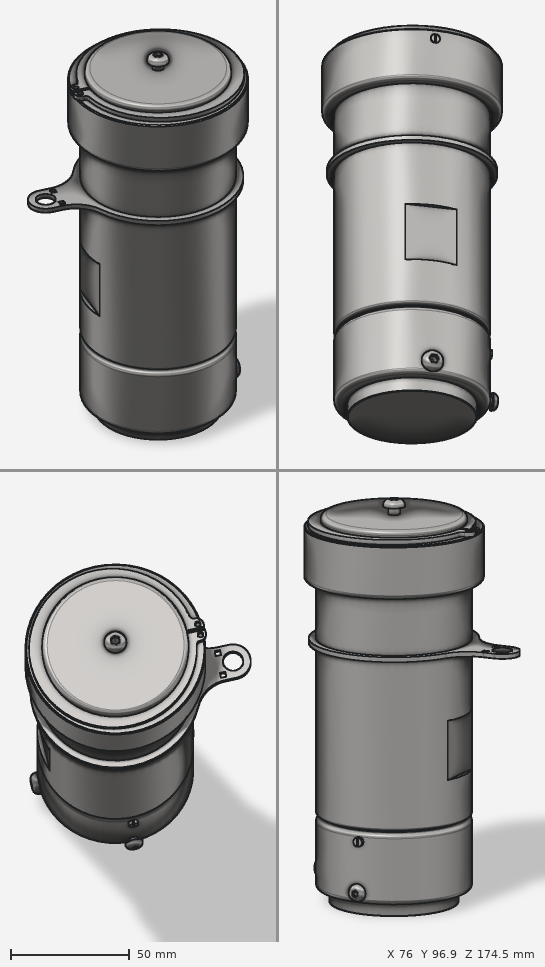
import cadquery as cq
import math

total_height = 174.5
edge_round = 2.0

base_lip_diameter = 54.6
base_lip_chamfer = 0.26
lower_cap_diameter = 66.0
lower_cap_bottom = 6.1
lower_cap_top = 37.0
neck_diameter = 59.0
body_diameter = 66.0
body_bottom = 38.2
body_edge_round = 1.0
collar_diameter = 76.0
collar_bottom = 139.5
collar_top = 162.8
collar_top_chamfer = 0.5
lid_diameter = 62.0
lid_top = 168.0
lid_round = 2.1

label_width = 22.7
label_bottom = 58.3
label_top = 84.0

plate_diameter = 72.0
plate_bottom = 112.2
plate_thickness = 2.1
tab_half_width = 7.5
tab_end = 58.5
tab_blend_radius = 15.0
tab_hole_diameter = 8.5
slot_side = 2.3
slot_spacing = 10.0
slot_offset = 45.5

ring_outer_diameter = 70.8
ring_shift = 1.0
ring_thickness = 2.1
ring_gap = 1.4
ear_half_width = 5.0
ear_end = 38.7
ear_corner_radius = 3.1
ear_blend_radius = 1.7
ear_hole_diameter = 2.5
ear_hole_spacing = 4.9
ear_hole_offset = 36.3

large_head_diameter = 9.5
large_head_height = 3.1
large_stem_diameter = 5.0
large_hex_width = 3.5
small_head_diameter = 7.7
small_head_height = 2.5
small_stem_diameter = 4.0
small_hex_width = 2.5
head_rim_ratio = 0.15
socket_edge_land = 0.3
dome_bulge_out = 0.75
dome_bulge_down = 0.4
side_screw_tip = 37.2
side_screw_height = 11.2
back_screw_tip = 36.3
back_screw_height = 11.5

set_screw_diameter = 4.0
set_screw_slot_width = 0.7
set_screw_slot_depth = 1.4
set_screw_depth = 5.2
side_set_screw_tip = 34.5
side_set_screw_height = 33.0
back_set_screw_tip = 38.4
back_set_screw_height = 158.6

body_radius = body_diameter / 2
screw_root_radius = base_lip_diameter / 2
plate_radius = plate_diameter / 2


def disc(diameter, bottom, top):
    """Make a cylinder on the main axis between two heights."""
    return cq.Workplane("XY").workplane(offset=bottom).circle(diameter / 2).extrude(top - bottom)


def hexagon_corner_diameter(across_flats):
    """Give the corner to corner diameter of a hexagon."""
    return across_flats / math.cos(math.radians(30))


def canister():
    lip = disc(base_lip_diameter, 0, lower_cap_bottom).faces("<Z").chamfer(base_lip_chamfer)
    lower_cap = disc(lower_cap_diameter, lower_cap_bottom, lower_cap_top).edges().fillet(edge_round)
    neck = disc(neck_diameter, lower_cap_top, body_bottom)
    body = disc(body_diameter, body_bottom, collar_bottom).faces("<Z").edges().fillet(body_edge_round)
    collar = disc(collar_diameter, collar_bottom, collar_top)
    collar = collar.faces("<Z").edges().fillet(edge_round)
    collar = collar.faces(">Z").edges().chamfer(collar_top_chamfer)
    lid = disc(lid_diameter, collar_top, lid_top).faces(">Z").edges().fillet(lid_round)
    solid = lip
    for section in (lower_cap, neck, cut_labels(body), collar, lid):
        solid = solid.union(section)
    return solid


def cut_labels(body):
    """Flats whose chord across the round body is the label width."""
    flat_offset = math.sqrt(body_radius**2 - (label_width / 2) ** 2)
    for side in (-1, 1):
        cutter = cq.Workplane("XY").box(
            body_diameter, body_diameter, label_top - label_bottom, centered=(True, True, False)
        )
        body = body.cut(cutter.translate((0, side * (flat_offset + body_radius), label_bottom)))
    return body


def hanging_plate():
    hole_offset = tab_end - tab_half_width
    blend_x = tab_half_width + tab_blend_radius
    centre_distance = plate_radius + tab_blend_radius
    blend_y = -math.sqrt(centre_distance**2 - blend_x**2)
    rim_x = blend_x * plate_radius / centre_distance
    rim_y = blend_y * plate_radius / centre_distance
    middle_angle = (math.atan2(rim_y - blend_y, rim_x - blend_x) + math.pi) / 2
    middle_x = blend_x + tab_blend_radius * math.cos(middle_angle)
    middle_y = blend_y + tab_blend_radius * math.sin(middle_angle)
    plate = (
        cq.Workplane("XY")
        .moveTo(rim_x, rim_y)
        .threePointArc((0, plate_radius), (-rim_x, rim_y))
        .threePointArc((-middle_x, middle_y), (-tab_half_width, blend_y))
        .lineTo(-tab_half_width, -hole_offset)
        .threePointArc((0, -tab_end), (tab_half_width, -hole_offset))
        .lineTo(tab_half_width, blend_y)
        .threePointArc((middle_x, middle_y), (rim_x, rim_y))
        .close()
        .extrude(plate_thickness)
    )
    hole = cq.Workplane("XY").center(0, -hole_offset).circle(tab_hole_diameter / 2).extrude(plate_thickness)
    slots = (
        cq.Workplane("XY")
        .pushPoints([(side * slot_spacing / 2, -slot_offset) for side in (-1, 1)])
        .rect(slot_side, slot_side)
        .extrude(plate_thickness)
    )
    return plate.cut(hole).cut(slots).translate((0, 0, plate_bottom))


def retaining_ring():
    ears = (
        cq.Workplane("XY")
        .rect(2 * ear_half_width, 2 * ear_end)
        .extrude(ring_thickness)
        .edges("|Z and <Y")
        .fillet(ear_corner_radius)
    )
    back_half = (
        cq.Workplane("XY").center(0, ear_end).rect(collar_diameter, 2 * ear_end).extrude(ring_thickness)
    )
    ring = cq.Workplane("XY").center(0, ring_shift).circle(ring_outer_diameter / 2).extrude(ring_thickness)
    ring = ring.union(ears.cut(back_half))
    root_y = ring_shift - math.sqrt((ring_outer_diameter / 2) ** 2 - ear_half_width**2)
    for side in (-1, 1):
        root = cq.selectors.NearestToPointSelector((side * ear_half_width, root_y, ring_thickness / 2))
        ring = ring.edges("|Z").edges(root).fillet(ear_blend_radius)
    gap = cq.Workplane("XY").center(0, -ear_end).rect(ring_gap, 2 * ear_end).extrude(ring_thickness)
    holes = (
        cq.Workplane("XY")
        .pushPoints([(side * ear_hole_spacing / 2, -ear_hole_offset) for side in (-1, 1)])
        .circle(ear_hole_diameter / 2)
        .extrude(ring_thickness)
    )
    return ring.cut(gap).cut(holes).translate((0, 0, collar_top))


def button_screw(head_diameter, head_height, stem_diameter, hex_width, length):
    head_radius = head_diameter / 2
    stem_radius = stem_diameter / 2
    flat_radius = hexagon_corner_diameter(hex_width) / 2 + socket_edge_land
    rim_top = -head_height * (1 - head_rim_ratio)
    dome_middle_radius = flat_radius + (head_radius - flat_radius) * dome_bulge_out
    screw = (
        cq.Workplane("XZ")
        .moveTo(0, 0)
        .lineTo(flat_radius, 0)
        .threePointArc((dome_middle_radius, rim_top * dome_bulge_down), (head_radius, rim_top))
        .lineTo(head_radius, -head_height)
        .lineTo(stem_radius, -head_height)
        .lineTo(stem_radius, -length)
        .lineTo(0, -length)
        .close()
        .revolve(360, (0, 0), (0, 1))
    )
    socket_depth = head_height / 2
    drill_radius = hex_width / 2
    socket = cq.Workplane("XY").polygon(6, hexagon_corner_diameter(hex_width)).extrude(-socket_depth)
    drill_cone = (
        cq.Workplane("XZ")
        .polyline([(0, -socket_depth), (drill_radius, -socket_depth), (0, -socket_depth - drill_radius)])
        .close()
        .revolve(360, (0, 0), (0, 1))
    )
    return screw.cut(socket).cut(drill_cone)


def set_screw(slot_length_x, slot_length_y):
    """Make a headless screw with a driver slot straight across its tip."""
    screw = cq.Workplane("XY").circle(set_screw_diameter / 2).extrude(-set_screw_depth)
    slot = cq.Workplane("XY").rect(slot_length_x, slot_length_y).extrude(-set_screw_slot_depth)
    return screw.cut(slot)


def on_left(screw, tip, height):
    """Turn an upright screw so that its head faces -X."""
    return screw.rotate((0, 0, 0), (0, 1, 0), -90).translate((-tip, 0, height))


def on_back(screw, tip, height):
    """Turn an upright screw so that its head faces +Y."""
    return screw.rotate((0, 0, 0), (1, 0, 0), -90).translate((0, tip, height))


top_screw = button_screw(
    large_head_diameter,
    large_head_height,
    large_stem_diameter,
    large_hex_width,
    total_height - collar_top,
)
back_screw = button_screw(
    large_head_diameter,
    large_head_height,
    large_stem_diameter,
    large_hex_width,
    back_screw_tip - screw_root_radius,
)
side_screw = button_screw(
    small_head_diameter,
    small_head_height,
    small_stem_diameter,
    small_hex_width,
    side_screw_tip - screw_root_radius,
)

result = canister()
for piece in (
    hanging_plate(),
    retaining_ring(),
    top_screw.translate((0, 0, total_height)),
    on_left(side_screw, side_screw_tip, side_screw_height),
    on_back(back_screw, back_screw_tip, back_screw_height),
    on_left(set_screw(set_screw_diameter, set_screw_slot_width), side_set_screw_tip, side_set_screw_height),
    on_back(set_screw(set_screw_slot_width, set_screw_diameter), back_set_screw_tip, back_set_screw_height),
):
    result = result.union(piece)